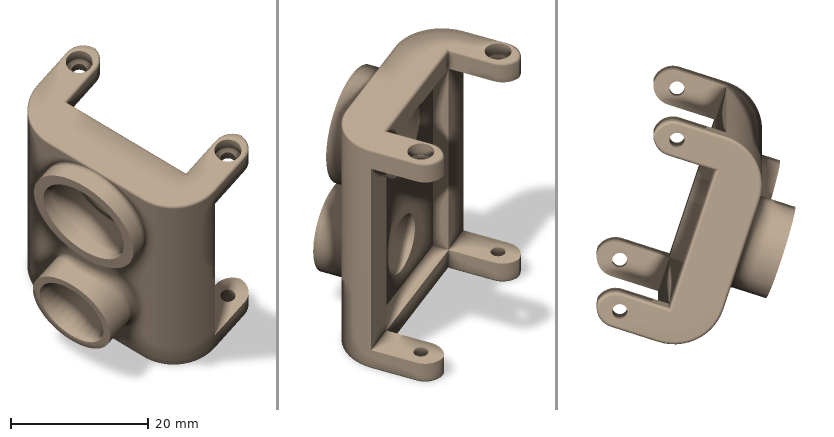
import cadquery as cq
import math

height = 40.0
width = 32.15
arm_width = 5.3
arm_length = 10.3
arm_thickness = 3.5
tip_radius = 3.0
plate_thickness = 7.5
edge_radius = 0.5
back_pocket_depth = 2.5

upper_z = 30.5
upper_diameter = 18.0
upper_bore_diameter = 14.5
upper_hole_diameter = 12.55
upper_length = 3.0
upper_bore_end_y = plate_thickness / 2

lower_z = 11.1
lower_diameter = 14.0
lower_root_radius = 1.0
lower_length = 6.0
lower_front_diameter = 11.5
lower_back_diameter = 9.3

screw_diameter = 2.2
screw_head_diameter = 3.9
screw_head_depth = 2.0
screw_to_tip = 3.5

plate_back_y = plate_thickness
pocket_floor_y = plate_back_y - back_pocket_depth
tip_y = plate_back_y + arm_length
arm_center_x = (width - arm_width) / 2


def cylinder(z, diameter, front_y, back_y):
    """Cylinder along Y between two Y positions, on the middle plane X = 0."""
    plane = cq.Plane(origin=(0, front_y, z), xDir=(1, 0, 0), normal=(0, 1, 0))
    return cq.Workplane(plane).circle(diameter / 2).extrude(back_y - front_y)


def inner_tip_middle(inner_x, seam_x, shoulder_y):
    """Middle point of the arc that leaves the arm's inner side tangentially and ends at the tip seam."""
    run = seam_x - inner_x
    radius = (run**2 + tip_radius**2) / (2 * run)
    half_sweep = math.asin(tip_radius / radius) / 2
    return inner_x + radius * (1 - math.cos(half_sweep)), shoulder_y + radius * math.sin(half_sweep)


def bracket_body():
    """U-shaped body with rounded end edges, opened between the arms and pocketed at the back."""
    outer_x = width / 2
    inner_x = outer_x - arm_width
    front_x = outer_x - plate_thickness
    seam_x = outer_x - tip_radius
    shoulder_y = tip_y - tip_radius
    corner_mid_x = front_x + plate_thickness * math.sqrt(0.5)
    corner_mid_y = plate_back_y - plate_thickness * math.sqrt(0.5)

    half = (
        cq.Workplane("XY")
        .lineTo(front_x, 0)
        .threePointArc((corner_mid_x, corner_mid_y), (outer_x, plate_back_y))
        .lineTo(outer_x, shoulder_y)
        .tangentArcPoint((seam_x, tip_y), relative=False)
    )
    half = half.threePointArc(inner_tip_middle(inner_x, seam_x, shoulder_y), (inner_x, shoulder_y))
    half = half.lineTo(inner_x, plate_back_y).lineTo(0, plate_back_y)
    body = half.mirrorY().extrude(height)
    body = body.faces("<Z or >Z").edges().fillet(edge_radius)

    gap_height = height - 2 * arm_thickness
    gap = (
        cq.Workplane("XY", origin=(0, plate_back_y, arm_thickness))
        .box(width, arm_length, gap_height, centered=(True, False, False))
    )
    pocket = (
        cq.Workplane("XY", origin=(0, pocket_floor_y, arm_thickness))
        .box(2 * inner_x, back_pocket_depth, gap_height, centered=(True, False, False))
    )
    return body.cut(gap).cut(pocket)


def upper_socket(body):
    """Socket ring on the front face, with a stepped hole through the plate."""
    body = body.union(cylinder(upper_z, upper_diameter, -upper_length, pocket_floor_y))
    body = body.cut(cylinder(upper_z, upper_bore_diameter, -upper_length, upper_bore_end_y))
    return body.cut(cylinder(upper_z, upper_hole_diameter, -upper_length, plate_back_y))


def lower_spout(body):
    """Spout with a concave root and a bore that narrows towards the back."""
    radius = lower_diameter / 2
    root = lower_root_radius
    mid_offset = root * (1 - math.sqrt(0.5))
    spout = (
        cq.Workplane("XY")
        .moveTo(0, -lower_length)
        .lineTo(radius, -lower_length)
        .lineTo(radius, -root)
        .threePointArc((radius + mid_offset, -mid_offset), (radius + root, 0))
        .lineTo(0, 0)
        .close()
        .revolve(360, (0, 0), (0, 1))
        .translate((0, 0, lower_z))
    )
    bore = (
        cq.Workplane("XY")
        .moveTo(0, -lower_length)
        .lineTo(lower_front_diameter / 2, -lower_length)
        .lineTo(lower_back_diameter / 2, pocket_floor_y)
        .lineTo(0, pocket_floor_y)
        .close()
        .revolve(360, (0, 0), (0, 1))
        .translate((0, 0, lower_z))
    )
    return body.union(spout).cut(bore)


def screw_holes(body):
    """Screw holes through all four arms, with head recesses in the upper pair."""
    centers = [(side * arm_center_x, tip_y - screw_to_tip) for side in (-1, 1)]
    holes = cq.Workplane("XY").pushPoints(centers).circle(screw_diameter / 2).extrude(height)
    heads = (
        cq.Workplane("XY", origin=(0, 0, height - screw_head_depth))
        .pushPoints(centers)
        .circle(screw_head_diameter / 2)
        .extrude(screw_head_depth)
    )
    return body.cut(holes).cut(heads)


result = screw_holes(lower_spout(upper_socket(bracket_body())))